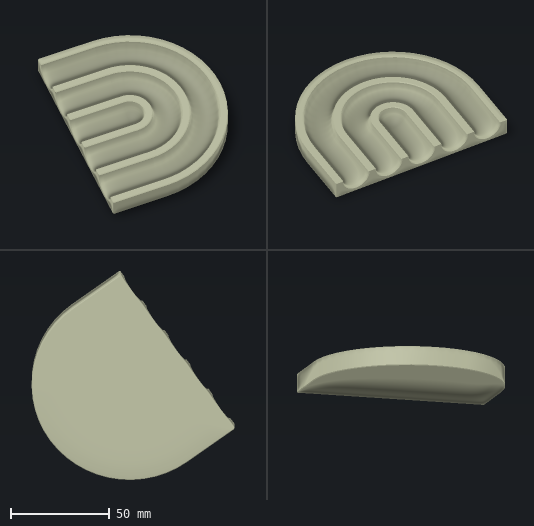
import cadquery as cq

width = 100.0
thickness = 10.0
straight_length = 30.0
groove_radius = 7.5
groove_columns = 5
edge_break = 0.4

wall = (width - groove_columns * 2 * groove_radius) / (groove_columns + 1)
groove_pitch = 2 * groove_radius + wall
arch_radii = [groove_pitch, 2 * groove_pitch]
outer_radius = width / 2


def arch_body():
    """Plate with a straight front edge and a semicircular back."""
    return (
        cq.Workplane("XY")
        .moveTo(-outer_radius, -straight_length)
        .lineTo(outer_radius, -straight_length)
        .lineTo(outer_radius, 0)
        .threePointArc((0, outer_radius), (-outer_radius, 0))
        .close()
        .extrude(thickness)
    )


def straight_groove(x):
    """Round channel from the front face to the centre of the arches."""
    return (
        cq.Workplane("XZ")
        .center(x, thickness)
        .circle(groove_radius)
        .extrude(straight_length)
    )


def arch_groove(arch_radius):
    """U-shaped channel: half a torus with a straight leg at each end."""
    bend = (
        cq.Workplane("XZ")
        .center(arch_radius, thickness)
        .circle(groove_radius)
        .revolve(180, (-arch_radius, 0, 0), (-arch_radius, 1, 0))
    )
    return bend.union(straight_groove(arch_radius)).union(straight_groove(-arch_radius))


def centre_groove():
    """Straight channel with a spherical blind end."""
    ball = (
        cq.Workplane("XZ")
        .moveTo(0, thickness - groove_radius)
        .threePointArc((groove_radius, thickness), (0, thickness + groove_radius))
        .close()
        .revolve(180, (0, 0, 0), (0, 1, 0))
    )
    return straight_groove(0).union(ball)


body = arch_body().cut(centre_groove())
for radius in arch_radii:
    body = body.cut(arch_groove(radius))

inner_wall_tops = cq.selectors.BoxSelector(
    (-2 * groove_pitch, -straight_length - edge_break, thickness - edge_break),
    (2 * groove_pitch, -straight_length + edge_break, thickness + edge_break),
)

face_edges = body.faces(">Z or <Z or <Y").edges().vals()
sharp_edges = body.faces(">Z").edges("<Y").edges(inner_wall_tops).vals()
chamfered_edges = [
    edge for edge in face_edges if not any(edge.isSame(sharp) for sharp in sharp_edges)
]
result = body.newObject(chamfered_edges).chamfer(edge_break)